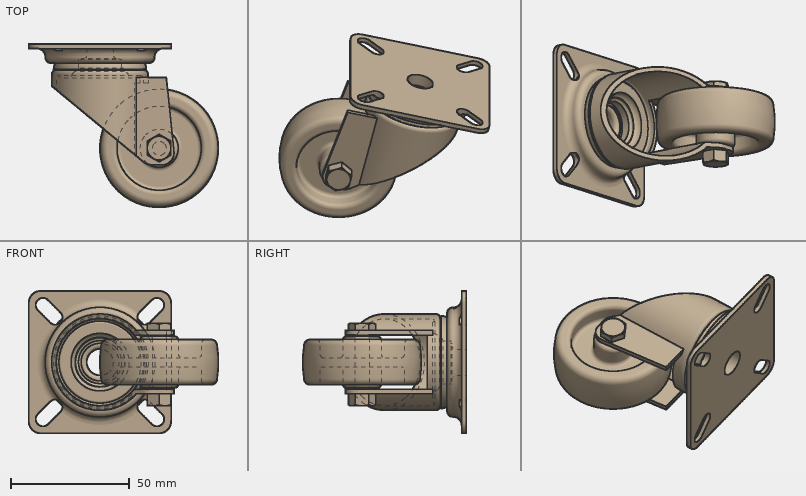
import cadquery as cq
import math


overall_length = 79.9
plate_side = 60.0
wheel_radius = 25.0
axle_drop = 43.9
axle_x = overall_length - plate_side / 2 - wheel_radius

plate_thickness = 2.0
plate_corner_radius = 5.2
slot_width = 6.0
slot_outer_offset = 24.0
slot_inner_offset = 18.8
slot_depth = 2.9

head_radius = 23.1
head_flare_radius = 3.35
head_round_radius = 2.6
head_band_height = 0.15
head_bottom = plate_thickness + head_flare_radius + head_band_height + head_round_radius
race_top_radius = 18.9
race_bottom_radius = 19.6
race_bulge = 0.15
race_bottom = 10.6
neck_radius = 18.4

sheet = 2.0
cup_radius = 20.3
cup_top = 11.0
cup_round_radius = 1.75
cup_floor = cup_top + sheet
rim_bottom = 16.4
leg_top = 14.15
pad_radius = 17.3
pad_bottom = 14.3
pad_round_radius = 0.9
leg_inner_face = 11.35
leg_outer_face = leg_inner_face + sheet
leg_start_x = math.sqrt(cup_radius**2 - leg_outer_face**2)
leg_top_corner_x = 28.0
leg_bottom_corner_x = 31.7
leg_bottom = 50.9
leg_end_radius = 5.0
slope_start = 17.75
slope_end_x = 19.8

center_hole_radius = 5.5
center_hole_round = 1.75
seat_radius = 12.15
seat_inner_radius = 10.5
seat_middle_radius = 11.7
seat_middle_drop = 12.55
seat_top = 11.4
throat_radius = 9.0
throat_curve_radius = 1.3
throat_start = 10.0
throat_top = 6.55
recess_radius = 7.9
recess_top = 6.15

axle_radius = 2.95
hex_flats = 10.0
bolt_head_height = 3.0
nut_height = 5.0
hex_chamfer_angle = 30.0

wheel_half_width = 9.6
tread_edge_radius = 24.45
tread_half_width = 7.0
shoulder_radius = 21.6
rim_face_inner_radius = 19.7
rim_inner_radius = 17.75
web_half_thickness = 1.8
web_round_radius = 1.6
hub_radius = 8.1
hub_half_length = 10.9
hub_round_radius = 1.6

ARC_MIDDLE = math.sqrt(0.5)


def round_middle(center_x, center_y, radius, side_x, side_y):
    """Middle point of a quarter circle lying on the given side of its centre."""
    return (center_x + side_x * radius * ARC_MIDDLE, center_y + side_y * radius * ARC_MIDDLE)


def revolve_about_swivel(profile):
    return profile.close().revolve(360, (0, 0, 0), (0, 1, 0))


def extrude_along_z(outline, z_low, z_high):
    return outline.extrude(z_high - z_low).translate((0, 0, z_low))


def make_plate():
    return (
        cq.Workplane("XZ")
        .rect(plate_side, plate_side)
        .extrude(plate_thickness)
        .edges("|Y")
        .fillet(plate_corner_radius)
    )


def make_slots():
    """Four diagonal slots, slightly deeper than the plate so that they notch the flare of the head."""
    slot_middle = (slot_outer_offset + slot_inner_offset) / 2 * math.sqrt(2)
    slot_length = (slot_outer_offset - slot_inner_offset) * math.sqrt(2) + slot_width
    return (
        cq.Workplane("XZ")
        .polarArray(slot_middle, 45, 360, 4)
        .slot2D(slot_length, slot_width)
        .extrude(slot_depth)
    )


def make_head():
    """Flared bearing head, the race ring below it and the neck that carries the cup."""
    flare_outer = head_radius + head_flare_radius
    flare_end = plate_thickness + head_flare_radius
    round_start = head_bottom - head_round_radius
    round_center = head_radius - head_round_radius
    race_middle = (
        (race_top_radius + race_bottom_radius) / 2 + race_bulge,
        -(head_bottom + race_bottom) / 2,
    )
    profile = (
        cq.Workplane("XY")
        .moveTo(0, -plate_thickness)
        .lineTo(flare_outer, -plate_thickness)
        .threePointArc(
            round_middle(flare_outer, -flare_end, head_flare_radius, -1, 1),
            (head_radius, -flare_end),
        )
        .lineTo(head_radius, -round_start)
        .threePointArc(
            round_middle(round_center, -round_start, head_round_radius, 1, -1),
            (round_center, -head_bottom),
        )
        .lineTo(race_top_radius, -head_bottom)
        .threePointArc(race_middle, (race_bottom_radius, -race_bottom))
        .lineTo(neck_radius, -race_bottom)
        .lineTo(neck_radius, -cup_top)
        .lineTo(0, -cup_top)
    )
    return revolve_about_swivel(profile)


def make_cup_blank(radius, top, round_radius, bottom):
    """Solid cylinder with its upper edge rounded."""
    cylinder = cq.Workplane("XZ").workplane(offset=top).circle(radius).extrude(bottom - top)
    return cylinder.faces(">Y").edges().fillet(round_radius)


def make_leg_outline():
    """Side outline of the fork: leg tops, leg ends and the sloping lower edge of the cup wall."""
    return (
        cq.Workplane("XY")
        .moveTo(0, -leg_top)
        .lineTo(leg_top_corner_x, -leg_top)
        .lineTo(leg_bottom_corner_x, -leg_bottom)
        .lineTo(slope_end_x, -leg_bottom)
        .lineTo(-cup_radius, -slope_start)
        .lineTo(-cup_radius, -leg_top)
        .close()
    )


def make_side_envelope():
    """Block across the full fork width that limits the cup wall and the legs, with rounded leg ends."""
    envelope = extrude_along_z(make_leg_outline(), -cup_radius, cup_radius)
    return envelope.faces("<Y").edges("|Z").fillet(leg_end_radius)


def make_block(x_low, x_high, y_low, z_low, z_high):
    """Block with the given limits that reaches up to the mounting face."""
    return cq.Workplane("XY").box(
        x_high - x_low, -y_low, z_high - z_low, centered=False
    ).translate((x_low, y_low, z_low))


def make_fork():
    """Cup around the swivel axis with two flat legs; between the legs its wall is a short rim."""
    cup = make_cup_blank(cup_radius, cup_top, cup_round_radius, leg_bottom)
    cavity = make_cup_blank(cup_radius - sheet, cup_floor, cup_round_radius, leg_bottom)
    shell = cup.cut(cavity)
    envelope = make_side_envelope()

    rim = shell.intersect(make_block(-cup_radius, cup_radius, -rim_bottom, -cup_radius, cup_radius))
    wall = shell.intersect(make_block(-cup_radius, leg_start_x, -leg_bottom, -cup_radius, cup_radius))
    wheel_gap = make_block(0, cup_radius, -leg_bottom, -leg_inner_face, leg_inner_face)
    fork = rim.union(wall.intersect(envelope).cut(wheel_gap))

    leg_inner_start_x = math.sqrt((cup_radius - sheet) ** 2 - leg_inner_face**2)
    for z_low in (-leg_outer_face, leg_inner_face):
        leg = make_block(leg_inner_start_x, leg_bottom_corner_x, -leg_bottom, z_low, z_low + sheet)
        fork = fork.union(leg.intersect(envelope).cut(cavity))
    return fork


def make_pad():
    """Raised disc with a rounded edge on the floor of the cup."""
    pad = cq.Workplane("XZ").workplane(offset=cup_top).circle(pad_radius).extrude(pad_bottom - cup_top)
    return pad.faces("<Y").edges().fillet(pad_round_radius)


def make_center_opening():
    """Stepped opening: hollow seat in the cup, narrower throat, then the rounded hole in the plate."""
    throat_mouth_radius = throat_radius + throat_curve_radius
    throat_mouth = throat_start + throat_curve_radius
    hole_round_end = recess_top - center_hole_round
    hole_round_radius = center_hole_radius + center_hole_round
    profile = (
        cq.Workplane("XY")
        .moveTo(0, -pad_bottom)
        .lineTo(seat_radius, -pad_bottom)
        .threePointArc((seat_middle_radius, -seat_middle_drop), (seat_inner_radius, -seat_top))
        .lineTo(throat_mouth_radius, -seat_top)
        .lineTo(throat_mouth_radius, -throat_mouth)
        .threePointArc(
            round_middle(throat_radius, -throat_mouth, throat_curve_radius, 1, 1),
            (throat_radius, -throat_start),
        )
        .lineTo(throat_radius, -throat_top)
        .lineTo(recess_radius, -throat_top)
        .lineTo(recess_radius, -recess_top)
        .lineTo(hole_round_radius, -recess_top)
        .threePointArc(
            round_middle(hole_round_radius, -hole_round_end, center_hole_round, -1, -1),
            (center_hole_radius, -hole_round_end),
        )
        .lineTo(center_hole_radius, 0)
        .lineTo(0, 0)
    )
    return revolve_about_swivel(profile)


def make_hex(height):
    """Hexagon standing on Z = 0 on the axle line, its outer corners chamfered all round."""
    corner_radius = hex_flats / math.sqrt(3)
    chamfer_drop = (corner_radius - hex_flats / 2) * math.tan(math.radians(hex_chamfer_angle))
    hexagon = cq.Workplane("XY").polygon(6, 2 * corner_radius).extrude(height)
    hexagon = hexagon.rotate((0, 0, 0), (0, 0, 1), 30)
    turned = (
        cq.Workplane("XZ")
        .lineTo(corner_radius, 0)
        .lineTo(corner_radius, height - chamfer_drop)
        .lineTo(hex_flats / 2, height)
        .lineTo(0, height)
        .close()
        .revolve(360, (0, 0, 0), (0, 1, 0))
    )
    return hexagon.intersect(turned).translate((axle_x, -axle_drop, 0))


def make_bolt():
    """Axle shank between the legs, bolt head above and nut below."""
    shank = cq.Workplane("XY").center(axle_x, -axle_drop).circle(axle_radius)
    shank = extrude_along_z(shank, -leg_outer_face, leg_outer_face)
    head = make_hex(bolt_head_height).translate((0, 0, leg_outer_face))
    nut = make_hex(nut_height).mirror("XY").translate((0, 0, -leg_outer_face))
    return shank.union(head).union(nut)


def make_frame():
    """Plate, bearing head, fork and axle bolt as one body."""
    base = make_plate().union(make_head()).cut(make_slots())
    frame = base.union(make_fork()).union(make_pad()).cut(make_center_opening())
    return frame.union(make_bolt())


def make_wheel_blank():
    """Bored wheel without its side hollows: rounded shoulders, crowned tread and a longer hub core."""
    shoulder_middle_x = shoulder_radius + (tread_edge_radius - shoulder_radius) * ARC_MIDDLE
    shoulder_middle_z = tread_half_width + (wheel_half_width - tread_half_width) * ARC_MIDDLE
    profile = (
        cq.Workplane("XZ")
        .moveTo(axle_radius, -hub_half_length)
        .lineTo(hub_radius, -hub_half_length)
        .lineTo(hub_radius, -wheel_half_width)
        .lineTo(shoulder_radius, -wheel_half_width)
        .threePointArc((shoulder_middle_x, -shoulder_middle_z), (tread_edge_radius, -tread_half_width))
        .threePointArc((wheel_radius, 0), (tread_edge_radius, tread_half_width))
        .threePointArc((shoulder_middle_x, shoulder_middle_z), (shoulder_radius, wheel_half_width))
        .lineTo(hub_radius, wheel_half_width)
        .lineTo(hub_radius, hub_half_length)
        .lineTo(axle_radius, hub_half_length)
        .close()
    )
    return profile.revolve(360, (0, 0, 0), (0, 1, 0))


def make_side_hollow():
    """Ring-shaped hollow on the +Z side that shapes the rounded hub, the web and the rim."""
    hub_round_start = hub_half_length - hub_round_radius
    hub_face_radius = hub_radius - hub_round_radius
    web_round_end = web_half_thickness + web_round_radius
    hub_base_radius = hub_radius + web_round_radius
    rim_round_start = rim_inner_radius - web_round_radius
    lip_radius = rim_face_inner_radius - rim_inner_radius
    lip_start = wheel_half_width - lip_radius
    profile = (
        cq.Workplane("XZ")
        .moveTo(hub_face_radius, hub_half_length)
        .threePointArc(
            round_middle(hub_face_radius, hub_round_start, hub_round_radius, 1, 1),
            (hub_radius, hub_round_start),
        )
        .lineTo(hub_radius, web_round_end)
        .threePointArc(
            round_middle(hub_base_radius, web_round_end, web_round_radius, -1, -1),
            (hub_base_radius, web_half_thickness),
        )
        .lineTo(rim_round_start, web_half_thickness)
        .threePointArc(
            round_middle(rim_round_start, web_round_end, web_round_radius, 1, -1),
            (rim_inner_radius, web_round_end),
        )
        .lineTo(rim_inner_radius, lip_start)
        .threePointArc(
            round_middle(rim_face_inner_radius, lip_start, lip_radius, -1, 1),
            (rim_face_inner_radius, wheel_half_width),
        )
        .lineTo(rim_face_inner_radius, hub_half_length)
        .close()
    )
    return profile.revolve(360, (0, 0, 0), (0, 1, 0))


def make_wheel():
    hollow = make_side_hollow()
    wheel = make_wheel_blank().cut(hollow).cut(hollow.mirror("XY"))
    return wheel.translate((axle_x, -axle_drop, 0))


frame = make_frame()
wheel = make_wheel()
result = cq.Compound.makeCompound([frame.val(), wheel.val()])